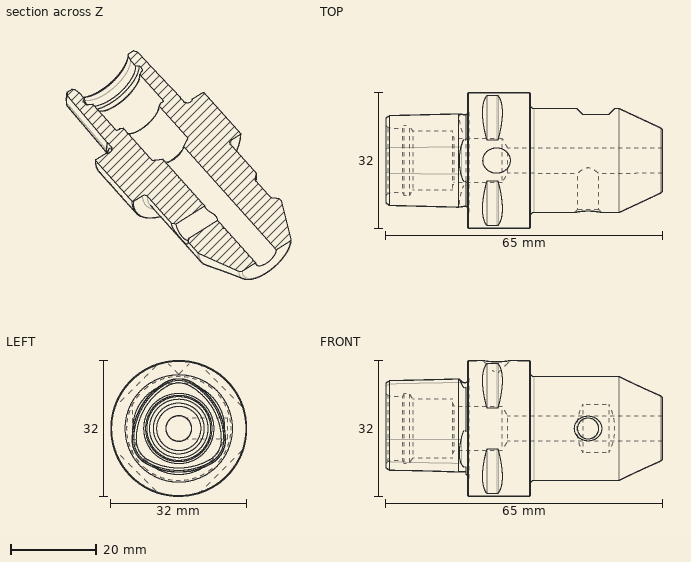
import cadquery as cq
import math


LOBE_OFFSET = 5.25
SHANK_LOBE_RADIUS = 6.45
NECK_LOBE_RADIUS = 6.4
SHANK_LENGTH = 17.1
SHANK_SLOPE = 1 / 40
SHANK_CHAMFER_LENGTH = 0.85
SHANK_CHAMFER_HEIGHT = 0.6

COLLAR_START = 18.8
UNDERCUT_RADIUS = 1.05
UNDERCUT_X = 18.5
UNDERCUT_DISTANCE = 11.8

FLANGE_START = 19.2
FLANGE_END = 34.0
FLANGE_RADIUS = 32.0 / 2
FLANGE_CHAMFER = 0.2

LENGTH = 65.0
NOSE_RADIUS = 24.5 / 2
NOSE_ROOT_FILLET = 0.8
NOSE_CONE_START = 54.8
NOSE_CONE_ANGLE = 25.0
NOSE_EDGE_FILLET = 0.8
NOSE_SHOULDER_FILLET = 0.8

MOUTH_RADIUS = 16.5 / 2
MOUTH_CHAMFER = 0.45
LEAD_IN_END = 1.9
CLAMP_BORE_RADIUS = 15.0 / 2
CLAMP_GROOVE_START = 3.9
CLAMP_GROOVE_END = 5.9
CLAMP_GROOVE_SLOPE = 0.4
CLAMP_GROOVE_RADIUS = 16.5 / 2
INNER_BORE_RADIUS = 6.9
INNER_BORE_START = 6.3
INNER_BORE_END = 15.6
SCREW_BORE_RADIUS = 10.4 / 2
SCREW_BORE_CHAMFER = 0.8
SCREW_BORE_END = 27.3
BORE_CONE_HALF_ANGLE = 60.0
TOOL_BORE_RADIUS = 6.0 / 2

SLOT_X = 25.0
SLOT_FLOOR_RADIUS = 14.2
SLOT_FLOOR_WIDTH = 2.6
SLOT_WALL_ANGLE = 30.0
SLOT_CORNER_FILLET = 0.3

DIMPLE_X = 26.0
DIMPLE_RADIUS = 3.25

SCREW_X = 47.5
SCREW_RADIUS = 4.95 / 2
SCREW_SINK_RADIUS = 3.25
FLAT_X = 49.35
FLAT_HEIGHT = 10.85
FLAT_LENGTH = 6.1


def polygon_outline(x, lobe_radius):
    """Three lobe arcs joined by three tangent flank arcs, in the plane at x."""
    flank_radius = lobe_radius + LOBE_OFFSET * math.sqrt(3)

    def arc_point(centre_angle, radius, angle):
        return (
            LOBE_OFFSET * math.cos(centre_angle) + radius * math.cos(angle),
            LOBE_OFFSET * math.sin(centre_angle) + radius * math.sin(angle),
        )

    outline = cq.Workplane("YZ", origin=(x, 0, 0))
    half_span = math.radians(30)
    for lobe in range(3):
        lobe_angle = math.pi / 2 + lobe * 4 * half_span
        flank_angle = lobe_angle + 2 * half_span
        far_centre = flank_angle + math.pi
        if lobe == 0:
            outline = outline.moveTo(*arc_point(lobe_angle, lobe_radius, lobe_angle - half_span))
        outline = outline.threePointArc(
            arc_point(lobe_angle, lobe_radius, lobe_angle),
            arc_point(lobe_angle, lobe_radius, lobe_angle + half_span),
        )
        outline = outline.threePointArc(
            arc_point(far_centre, flank_radius, flank_angle),
            arc_point(far_centre, flank_radius, flank_angle + half_span),
        )
    return outline.close()


def revolved(profile):
    return profile.close().revolve(360, (0, 0, 0), (1, 0, 0))


def make_shank():
    body_length = SHANK_LENGTH - SHANK_CHAMFER_LENGTH
    front_radius = SHANK_LOBE_RADIUS - body_length * SHANK_SLOPE
    taper_angle = math.degrees(math.atan(SHANK_SLOPE))
    chamfer_angle = math.degrees(math.atan(SHANK_CHAMFER_HEIGHT / SHANK_CHAMFER_LENGTH))
    body = polygon_outline(SHANK_LENGTH, SHANK_LOBE_RADIUS).extrude(-body_length, taper=taper_angle)
    tip = polygon_outline(SHANK_CHAMFER_LENGTH, front_radius).extrude(
        -SHANK_CHAMFER_LENGTH, taper=chamfer_angle
    )
    return body.union(tip)


def make_neck():
    """Straight polygon neck that ends in a round collar against the flange."""
    neck = polygon_outline(SHANK_LENGTH, NECK_LOBE_RADIUS).extrude(FLANGE_END - SHANK_LENGTH)
    collar = cq.Workplane("YZ", origin=(COLLAR_START, 0, 0)).circle(UNDERCUT_DISTANCE).extrude(
        FLANGE_END - COLLAR_START
    )
    return neck.union(collar)


def make_flange():
    flange = cq.Workplane("YZ", origin=(FLANGE_START, 0, 0)).circle(FLANGE_RADIUS).extrude(
        FLANGE_END - FLANGE_START
    )
    return flange.edges().chamfer(FLANGE_CHAMFER)


def make_undercut():
    """Ring with a 45 degree cone at the shank, tangent to an arc that ends in the flange face."""
    diagonal = UNDERCUT_RADIUS * math.sqrt(0.5)
    tangent_x = UNDERCUT_X - diagonal
    tangent_radius = UNDERCUT_DISTANCE - diagonal
    face_distance = FLANGE_START - UNDERCUT_X
    face_radius = UNDERCUT_DISTANCE + math.sqrt(UNDERCUT_RADIUS**2 - face_distance**2)
    return revolved(
        cq.Workplane("XY")
        .moveTo(SHANK_LENGTH, face_radius)
        .lineTo(SHANK_LENGTH, tangent_radius + tangent_x - SHANK_LENGTH)
        .lineTo(tangent_x, tangent_radius)
        .threePointArc(
            (UNDERCUT_X + diagonal, UNDERCUT_DISTANCE - diagonal),
            (FLANGE_START, face_radius),
        )
    )


def make_nose():
    tip_radius = NOSE_RADIUS - (LENGTH - NOSE_CONE_START) * math.tan(math.radians(NOSE_CONE_ANGLE))
    nose = revolved(
        cq.Workplane("XY")
        .moveTo(FLANGE_END, 0)
        .lineTo(FLANGE_END, NOSE_RADIUS + NOSE_ROOT_FILLET)
        .radiusArc((FLANGE_END + NOSE_ROOT_FILLET, NOSE_RADIUS), -NOSE_ROOT_FILLET)
        .lineTo(NOSE_CONE_START, NOSE_RADIUS)
        .lineTo(LENGTH, tip_radius)
        .lineTo(LENGTH, 0)
    )
    nose = nose.faces(">X").edges().fillet(NOSE_EDGE_FILLET)
    shoulder = cq.selectors.NearestToPointSelector((NOSE_CONE_START, 0, 0))
    return nose.edges("%CIRCLE").edges(shoulder).fillet(NOSE_SHOULDER_FILLET)


def make_bore():
    cone_slope = math.tan(math.radians(BORE_CONE_HALF_ANGLE))
    chamfer_length = SCREW_BORE_CHAMFER / cone_slope
    point_length = (SCREW_BORE_RADIUS - TOOL_BORE_RADIUS) / cone_slope
    return revolved(
        cq.Workplane("XY")
        .lineTo(0, MOUTH_RADIUS)
        .lineTo(MOUTH_CHAMFER, MOUTH_RADIUS - MOUTH_CHAMFER)
        .lineTo(LEAD_IN_END, CLAMP_BORE_RADIUS)
        .lineTo(CLAMP_GROOVE_START, CLAMP_BORE_RADIUS)
        .lineTo(CLAMP_GROOVE_START + CLAMP_GROOVE_SLOPE, CLAMP_GROOVE_RADIUS)
        .lineTo(CLAMP_GROOVE_END - CLAMP_GROOVE_SLOPE, CLAMP_GROOVE_RADIUS)
        .lineTo(CLAMP_GROOVE_END, CLAMP_BORE_RADIUS)
        .lineTo(INNER_BORE_START, INNER_BORE_RADIUS)
        .lineTo(INNER_BORE_END, INNER_BORE_RADIUS)
        .lineTo(INNER_BORE_END, SCREW_BORE_RADIUS + SCREW_BORE_CHAMFER)
        .lineTo(INNER_BORE_END + chamfer_length, SCREW_BORE_RADIUS)
        .lineTo(SCREW_BORE_END, SCREW_BORE_RADIUS)
        .lineTo(SCREW_BORE_END + point_length, TOOL_BORE_RADIUS)
        .lineTo(LENGTH, TOOL_BORE_RADIUS)
        .lineTo(LENGTH, 0)
    )


def make_gripper_slots():
    depth = FLANGE_RADIUS - SLOT_FLOOR_RADIUS
    half_floor = SLOT_FLOOR_WIDTH / 2
    half_mouth = half_floor + depth * math.tan(math.radians(SLOT_WALL_ANGLE))
    slot = (
        cq.Workplane("XZ")
        .moveTo(SLOT_X - half_floor, SLOT_FLOOR_RADIUS)
        .lineTo(SLOT_X + half_floor, SLOT_FLOOR_RADIUS)
        .lineTo(SLOT_X + half_mouth, FLANGE_RADIUS)
        .lineTo(SLOT_X - half_mouth, FLANGE_RADIUS)
        .close()
        .extrude(FLANGE_RADIUS, both=True)
    )
    slot = slot.faces("<Z").edges("|Y").fillet(SLOT_CORNER_FILLET)
    slots = cq.Workplane("XY")
    for angle in (45, 135, 225, 315):
        slots = slots.union(slot.rotate((0, 0, 0), (1, 0, 0), angle))
    return slots


def make_dimple():
    """Pointed 90 degree countersink on the +Z side of the flange."""
    cone = cq.Solid.makeCone(
        DIMPLE_RADIUS, 0, DIMPLE_RADIUS, cq.Vector(DIMPLE_X, 0, FLANGE_RADIUS), cq.Vector(0, 0, -1)
    )
    return cq.Workplane(cone)


def make_screw_hole():
    """Countersunk hole from the -Y side into the tool bore."""
    hole = cq.Workplane("XZ", origin=(SCREW_X, 0, 0)).circle(SCREW_RADIUS).extrude(NOSE_RADIUS)
    sink = cq.Solid.makeCone(
        SCREW_SINK_RADIUS,
        SCREW_RADIUS,
        SCREW_SINK_RADIUS - SCREW_RADIUS,
        cq.Vector(SCREW_X, -NOSE_RADIUS, 0),
        cq.Vector(0, 1, 0),
    )
    return hole.union(cq.Workplane(sink))


def make_flat():
    """Milled flat on the +Y side with 45 degree ends."""
    depth = NOSE_RADIUS - FLAT_HEIGHT
    return (
        cq.Workplane("XY")
        .moveTo(FLAT_X - FLAT_LENGTH / 2, FLAT_HEIGHT)
        .lineTo(FLAT_X + FLAT_LENGTH / 2, FLAT_HEIGHT)
        .lineTo(FLAT_X + FLAT_LENGTH / 2 + depth, NOSE_RADIUS)
        .lineTo(FLAT_X - FLAT_LENGTH / 2 - depth, NOSE_RADIUS)
        .close()
        .extrude(NOSE_RADIUS, both=True)
    )


body = make_shank().union(make_neck()).union(make_flange()).union(make_nose())
cutters = (
    make_undercut(),
    make_bore(),
    make_gripper_slots(),
    make_dimple(),
    make_screw_hole(),
    make_flat(),
)
for cutter in cutters:
    body = body.cut(cutter)
result = body